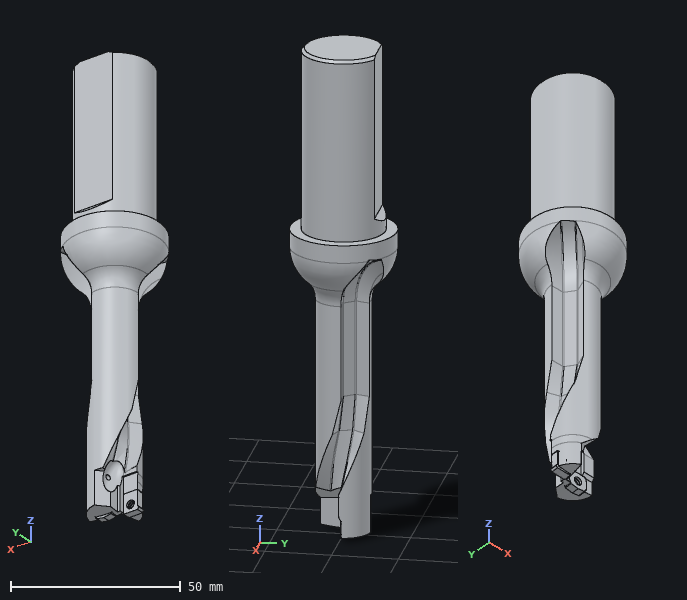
import cadquery as cq
import math


total_height = 151.0
shank_radius = 25.0 / 2
shank_chamfer = 0.9
collar_radius = 32.0 / 2
collar_top = 94.8
collar_bottom = 89.4
clamp_flat_y = 10.4
clamp_flat_bottom = 100.7
clamp_ramp_depth = shank_radius - clamp_flat_y

drill_radius = 8.5
neck_bulge_radius = 13.3
neck_hollow_radius = 7.5
neck_radii = neck_bulge_radius + neck_hollow_radius
neck_turn = math.acos(1 - (collar_radius - drill_radius) / neck_radii)
neck_bottom = collar_bottom - neck_radii * math.sin(neck_turn)
neck_inflection = (
    drill_radius + neck_hollow_radius * (1 - math.cos(neck_turn)),
    neck_bottom + neck_hollow_radius * math.sin(neck_turn),
)

tip_bottom = 1.4
tip_center_bottom = 0.6
tip_taper_top = 12.5
tip_taper_bottom = 9.8
tip_radius = 8.3
tip_relief_turn = 180.0
reach = 2 * drill_radius

flute_side_y = -0.23
flute_section = [
    (-reach, flute_side_y),
    (-4.0, flute_side_y),
    (-1.4, -3.8),
    (-2.9, -8.0),
    (-6.0, -reach),
]
flute_corner_radius = 0.5
flute_floor_distance = 3.5
flute_runout_start = 73.0
flute_runout_radius = 16.9
flute_runout_angle = 76.0
flute_twist_start = 44.0
flute_twist_steep = 33.2
flute_twist_end = 13.0
gentle_twist = 18.0
steep_twist = 61.0
flute_turns = (0.0, 183.0)

front_wall_outer_x = -3.5
front_wall_inner_x = -2.4
roof_low_z = 9.5
roof_high = (5.0, 16.6)

recess_left_x = 0.8
recess_right_x = 4.4
recess_left_top = 13.0
recess_right_top = 16.0
recess_depth = 1.2
land_step_top = 7.9
land_step_bottom = 6.5
land_step_depth = 0.8

rear_wall_x = -3.2
rear_wall_bend_y = 5.1
rear_wall_end = (2.9, 9.8)
rear_pocket_top = flute_twist_end
rear_step_y = 1.7
rear_step_x = -2.3
scoop_width = 7.0
scoop_length = 13.0
scoop_tilt = 110.0
scoop_center_y = 4.4
scoop_center_z = 11.8
scoop_floor_x = 0.0
coolant_diameter = 1.7
coolant_y = 3.5
coolant_z = 12.4
coolant_depth = 5.3

insert_thickness = 2.5
central_center_x = 2.1
central_half_width = 3.3
insert_height = 6.0
insert_tip_rise = 0.5
insert_corner_x = 0.6
insert_corner_z = 1.2
outer_left_x = -8.9
outer_nose_height = 1.4
outer_bottom = 0.5
outer_top = 7.2
screw_hole_diameter = 1.7
screw_collar_diameter = 2.3
screw_collar_depth = 1.4
screw_head_diameter = 2.7
screw_head_depth = 0.8
screw_hole_depth = 4.5
screw_z = 3.0


def about_axis(shape, angle):
    return shape.rotate((0, 0, 0), (0, 0, 1), angle)


def make_blank():
    """Shank, collar, neck and drill as one turned piece."""
    return (
        cq.Workplane("XZ")
        .moveTo(0, tip_center_bottom)
        .lineTo(drill_radius, tip_bottom)
        .lineTo(drill_radius, neck_bottom)
        .tangentArcPoint(neck_inflection, relative=False)
        .tangentArcPoint((collar_radius, collar_bottom), relative=False)
        .lineTo(collar_radius, collar_top)
        .lineTo(shank_radius, collar_top)
        .lineTo(shank_radius, total_height - shank_chamfer)
        .lineTo(shank_radius - shank_chamfer, total_height)
        .lineTo(0, total_height)
        .close()
        .revolve(360, (0, 0), (0, 1))
    )


def make_clamp_flat():
    """Material above the shank flat, with a 45 degree ramp at its lower end."""
    return (
        cq.Workplane("YZ")
        .moveTo(clamp_flat_y, total_height)
        .lineTo(clamp_flat_y, clamp_flat_bottom)
        .lineTo(clamp_flat_y + clamp_ramp_depth, clamp_flat_bottom - clamp_ramp_depth)
        .lineTo(collar_radius, clamp_flat_bottom - clamp_ramp_depth)
        .lineTo(collar_radius, total_height)
        .close()
        .extrude(shank_radius, both=True)
    )


def flute_sketch(z):
    outline = cq.Sketch().polygon(flute_section + flute_section[:1])
    outline = outline.vertices().fillet(flute_corner_radius)
    return cq.Workplane("XY").workplane(offset=z).placeSketch(outline)


def make_twisted_length(bottom, top, angle_at_bottom, twist):
    length = flute_sketch(bottom).twistExtrude(top - bottom, twist)
    return about_axis(length, angle_at_bottom)


def make_flute():
    """One flute: curved run-out, straight length and two twisted lengths."""
    axis_offset = (flute_floor_distance + flute_runout_radius) / math.sqrt(2)
    axis_point = (-axis_offset, -axis_offset)
    axis_end = (0, -2 * axis_offset)
    runout = flute_sketch(flute_runout_start).revolve(flute_runout_angle, axis_point, axis_end)
    straight = flute_sketch(flute_twist_start).extrude(flute_runout_start - flute_twist_start)
    gentle = make_twisted_length(flute_twist_steep, flute_twist_start, -gentle_twist, gentle_twist)
    steep = make_twisted_length(
        flute_twist_end, flute_twist_steep, -gentle_twist - steep_twist, steep_twist
    )
    return [runout, straight, gentle, steep]


def make_front_pocket():
    """Open space in front of the central insert."""
    under_roof = (
        cq.Workplane("XZ")
        .moveTo(front_wall_outer_x - 1.5, 0)
        .lineTo(front_wall_outer_x, roof_low_z)
        .lineTo(*roof_high)
        .lineTo(reach, roof_high[1])
        .lineTo(reach, 0)
        .close()
        .extrude(reach)
    )
    plan = (
        cq.Workplane("XY")
        .moveTo(front_wall_inner_x, 0)
        .lineTo(reach, 0)
        .lineTo(reach, -reach)
        .lineTo(front_wall_outer_x, -reach)
        .lineTo(front_wall_outer_x, -drill_radius)
        .close()
        .extrude(roof_high[1])
    )
    return plan.intersect(under_roof)


def make_insert_recess():
    """Recess under the inclined roof, above the central insert."""
    return (
        cq.Workplane("XZ")
        .moveTo(recess_left_x, insert_height)
        .lineTo(recess_right_x, insert_height)
        .lineTo(recess_right_x, recess_right_top)
        .lineTo(recess_left_x, recess_left_top)
        .close()
        .extrude(-recess_depth)
    )


def make_land_step():
    """Lowered lower end of the land beside the central insert, with a sloping shoulder."""
    return (
        cq.Workplane("YZ", origin=(recess_right_x, 0, 0))
        .moveTo(0, 0)
        .lineTo(0, land_step_top)
        .lineTo(land_step_depth, land_step_bottom)
        .lineTo(land_step_depth, 0)
        .close()
        .extrude(reach)
    )


def make_rear_pocket():
    """Open space in front of the outer insert, ending in a round scoop."""
    pocket = (
        cq.Workplane("XY")
        .moveTo(-reach, 0)
        .lineTo(rear_wall_x, 0)
        .lineTo(rear_wall_x, rear_step_y)
        .lineTo(rear_step_x, rear_step_y)
        .lineTo(rear_step_x, rear_wall_bend_y)
        .lineTo(*rear_wall_end)
        .lineTo(-reach, rear_wall_end[1])
        .close()
        .extrude(rear_pocket_top)
    )
    scoop_plane = cq.Workplane(
        "YZ", origin=(scoop_floor_x - scoop_width / 2, scoop_center_y, scoop_center_z)
    ).transformed(rotate=(0, 0, scoop_tilt))
    scoop_end = (
        scoop_plane
        .ellipseArc(scoop_length / 2, scoop_width / 2, 0, 180, startAtCurrent=False)
        .close()
        .revolve(360, (0, 0), (1, 0))
    )
    scoop_opening = scoop_plane.ellipse(scoop_length / 2, scoop_width / 2).extrude(-reach)
    coolant_hole = (
        cq.Workplane("YZ", origin=(rear_step_x, 0, 0))
        .center(coolant_y, coolant_z)
        .circle(coolant_diameter / 2)
        .extrude(coolant_depth)
    )
    return pocket.union(scoop_end).union(scoop_opening).union(coolant_hole)


def make_tip_relief():
    """Ring cut from the -X -Y quarter of the tip, below a short taper."""
    ring = (
        cq.Workplane("XZ")
        .moveTo(tip_radius, 0)
        .lineTo(tip_radius, tip_taper_bottom)
        .lineTo(drill_radius, tip_taper_top)
        .lineTo(reach, tip_taper_top)
        .lineTo(reach, 0)
        .close()
        .revolve(90, (0, 0), (0, 1))
    )
    return about_axis(ring, tip_relief_turn)


def make_central_blank():
    """Central insert without its screw hole: an octagon with a slightly pointed lower edge."""
    left = central_center_x - central_half_width
    right = central_center_x + central_half_width
    return (
        cq.Workplane("XZ")
        .moveTo(central_center_x, 0)
        .lineTo(right - insert_corner_x, insert_tip_rise)
        .lineTo(right, insert_tip_rise + insert_corner_z)
        .lineTo(right, insert_height - insert_corner_z)
        .lineTo(right - insert_corner_x, insert_height)
        .lineTo(left + insert_corner_x, insert_height)
        .lineTo(left, insert_height - insert_corner_z)
        .lineTo(left, insert_tip_rise + insert_corner_z)
        .lineTo(left + insert_corner_x, insert_tip_rise)
        .close()
        .extrude(-insert_thickness)
    )


def make_outer_blank():
    """Outer insert without its screw hole, its nose standing out past the drill."""
    return (
        cq.Workplane("XZ")
        .moveTo(outer_left_x, outer_bottom + outer_nose_height / 2)
        .lineTo(-tip_radius, outer_bottom)
        .lineTo(rear_wall_x, outer_bottom)
        .lineTo(rear_wall_x, outer_top)
        .lineTo(-tip_radius, outer_top)
        .lineTo(-tip_radius, outer_bottom + outer_nose_height)
        .close()
        .extrude(insert_thickness)
    )


def make_screw_hole(x, direction):
    """Stepped hole going from the rake face along Y; direction is +1 or -1."""
    plane = cq.Workplane("XZ", origin=(x, 0, screw_z))
    hole = plane.circle(screw_hole_diameter / 2).extrude(-direction * screw_hole_depth)
    collar = plane.circle(screw_collar_diameter / 2).extrude(-direction * screw_collar_depth)
    head = plane.circle(screw_head_diameter / 2).extrude(-direction * screw_head_depth)
    return hole.union(collar).union(head)


central_blank = make_central_blank()
outer_blank = make_outer_blank()
central_hole = make_screw_hole(central_center_x, 1)
outer_hole = make_screw_hole((rear_wall_x - tip_radius) / 2, -1)

body = make_blank().cut(make_clamp_flat())
for turn in flute_turns:
    for flute_length in make_flute():
        body = body.cut(about_axis(flute_length, turn))
for removed in (
    make_front_pocket(),
    make_insert_recess(),
    make_land_step(),
    make_rear_pocket(),
    make_tip_relief(),
    central_blank,
    outer_blank,
    central_hole,
    outer_hole,
):
    body = body.cut(removed)

central_insert = central_blank.cut(central_hole)
outer_insert = outer_blank.cut(outer_hole)

result = cq.Compound.makeCompound([
    body.solids().val(),
    central_insert.solids().val(),
    outer_insert.solids().val(),
])